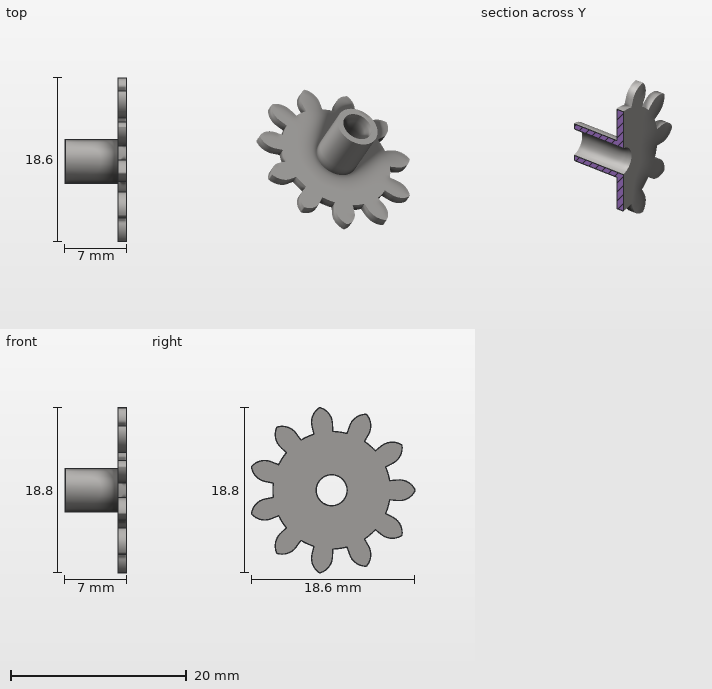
import cadquery as cq
import math

TOOTH_COUNT = 11
DISC_THICKNESS = 1.0
ROOT_RADIUS = 6.7
PITCH_RADIUS = 7.7
TIP_RADIUS = 9.5

TOOTH_THICKNESS = 2.39
FLANK_ANGLE = 5.25
TIP_ARC_RADIUS = 0.2
TOOTH_EMBED = 0.5

HUB_LENGTH = 6.0
HUB_DIAMETER = 5.0
BORE_DIAMETER = 3.5

half_thickness = TOOTH_THICKNESS / 2
tip_center = TIP_RADIUS - TIP_ARC_RADIUS
crown_to_tip = tip_center - PITCH_RADIUS
crown_radius = (crown_to_tip**2 + half_thickness**2 - TIP_ARC_RADIUS**2) / (
    2 * (half_thickness - TIP_ARC_RADIUS)
)
crown_offset = crown_radius - half_thickness


def crown_point(angle):
    """Point on the crown arc, at an angle from the tooth centre line direction."""
    radial = PITCH_RADIUS + crown_radius * math.cos(angle)
    across = -crown_offset + crown_radius * math.sin(angle)
    return radial, across


def mirrored(point):
    """The same point on the other half of the tooth."""
    radial, across = point
    return radial, -across


def make_tooth():
    """One tooth along the sketch's local x direction, starting inside the disc."""
    flank_slope = math.radians(FLANK_ANGLE)
    crown_start_angle = math.pi / 2 + flank_slope
    crown_end_angle = math.atan2(crown_offset, crown_to_tip)
    crown_start = crown_point(crown_start_angle)
    crown_middle = crown_point((crown_start_angle + crown_end_angle) / 2)
    crown_end = crown_point(crown_end_angle)

    base_radial = ROOT_RADIUS - TOOTH_EMBED
    base_across = crown_start[1] - (crown_start[0] - base_radial) * math.tan(flank_slope)
    base = (base_radial, base_across)

    return (
        cq.Workplane("YZ")
        .moveTo(*base)
        .lineTo(*crown_start)
        .threePointArc(crown_middle, crown_end)
        .threePointArc((TIP_RADIUS, 0), mirrored(crown_end))
        .threePointArc(mirrored(crown_middle), mirrored(crown_start))
        .lineTo(*mirrored(base))
        .close()
        .extrude(DISC_THICKNESS)
    )


def make_gear():
    """Toothed disc with its -X face on the YZ plane."""
    gear = cq.Workplane("YZ").circle(ROOT_RADIUS).extrude(DISC_THICKNESS)
    tooth = make_tooth()
    for index in range(TOOTH_COUNT):
        turn = index * 360 / TOOTH_COUNT
        gear = gear.union(tooth.rotate((0, 0, 0), (1, 0, 0), turn))
    return gear


def make_hub():
    """Plain cylinder running from the disc towards -X."""
    return cq.Workplane("YZ").circle(HUB_DIAMETER / 2).extrude(-HUB_LENGTH)


def make_bore():
    """Hole through the hub and the disc."""
    return (
        cq.Workplane("YZ", origin=(-HUB_LENGTH, 0, 0))
        .circle(BORE_DIAMETER / 2)
        .extrude(HUB_LENGTH + DISC_THICKNESS)
    )


result = make_gear().union(make_hub()).cut(make_bore())